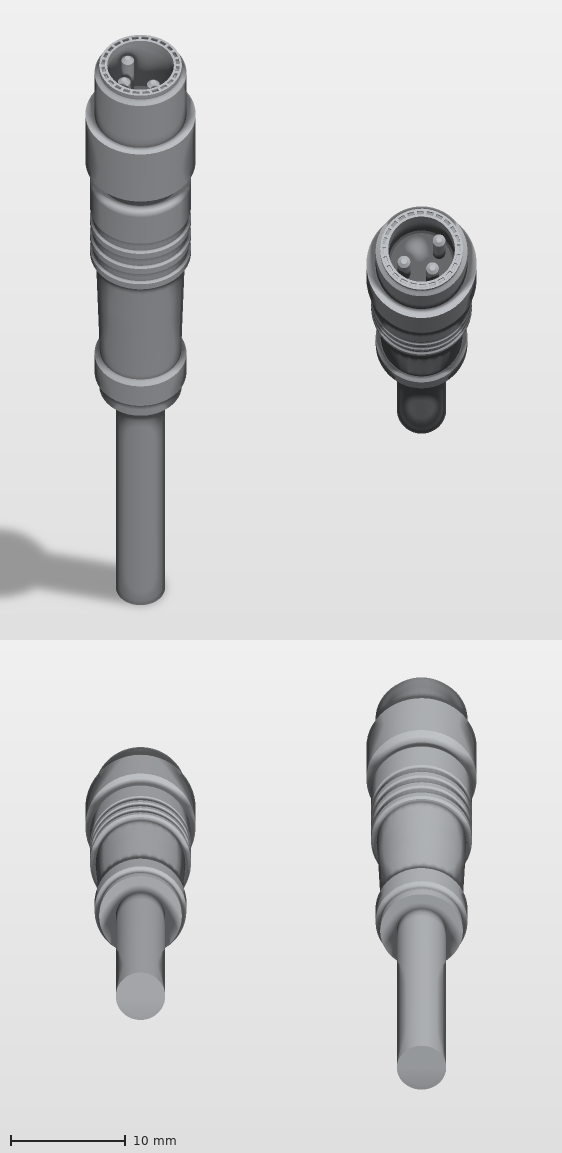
import cadquery as cq

TOTAL_LENGTH = 67.0
CABLE_LENGTH = 25.9
COLLAR_BOTTOM = 27.2
COLLAR_TOP = 30.5
GRIP_BOTTOM = 42.8
GRIP_TOP = 52.85
NUT_BOTTOM = 53.9
NUT_TOP = 60.75

CABLE_RADIUS = 2.15
TAIL_RADIUS = 3.6
COLLAR_RADIUS = 4.0
COLLAR_CHAMFER = 0.4
TAPER_LOW_RADIUS = 3.55
TAPER_HIGH_RADIUS = 3.9

GRIP_RADIUS = 4.4
GRIP_CORE_RADIUS = 4.2
GRIP_FILLET = 0.6
RIB_COUNT = 3
RIB_PITCH = 1.95
RIB_HEIGHT = 1.05
RIB_CHAMFER = GRIP_RADIUS - GRIP_CORE_RADIUS
SLEEVE_BOTTOM = GRIP_BOTTOM + RIB_COUNT * RIB_PITCH

NECK_RADIUS = 3.6
NUT_RADIUS = 4.8
NUT_CHAMFER = 0.8
BARREL_RADIUS = 4.0
LIP_RADIUS = 3.6
LIP_HEIGHT = 0.5
LIP_BOTTOM = TOTAL_LENGTH - LIP_HEIGHT

SOCKET_RADIUS = 2.9
SOCKET_DEPTH = 6.0
SOCKET_FLOOR = TOTAL_LENGTH - SOCKET_DEPTH
SOCKET_FLOOR_CHAMFER = 0.2

POCKET_COUNT = 24
POCKET_WIDTH = 0.6
POCKET_INNER_RADIUS = 3.1
POCKET_OUTER_RADIUS = 3.4
POCKET_DEPTH = 0.3

PIN_RADIUS = 0.55
PIN_CHAMFER = 0.3
PIN_TOP = TOTAL_LENGTH - 0.6
PIN_CIRCLE_RADIUS = 1.8
PIN_ANGLES = (0, 180, 270)


def cylinder(radius, bottom, top):
    return cq.Workplane("XY").workplane(offset=bottom).circle(radius).extrude(top - bottom)


def turn_about_axis(body, angle):
    return body.rotate((0, 0, 0), (0, 0, 1), angle)


def make_strain_relief():
    cable = cylinder(CABLE_RADIUS, 0, CABLE_LENGTH)
    tail = cylinder(TAIL_RADIUS, CABLE_LENGTH, COLLAR_BOTTOM)
    collar = cylinder(COLLAR_RADIUS, COLLAR_BOTTOM, COLLAR_TOP).edges().chamfer(COLLAR_CHAMFER)
    taper = (
        cq.Workplane("XY")
        .workplane(offset=COLLAR_TOP)
        .circle(TAPER_LOW_RADIUS)
        .workplane(offset=GRIP_BOTTOM - COLLAR_TOP)
        .circle(TAPER_HIGH_RADIUS)
        .loft()
    )
    return cable.union(tail).union(collar).union(taper)


def make_grip():
    grip = cylinder(GRIP_CORE_RADIUS, GRIP_BOTTOM, SLEEVE_BOTTOM)
    sleeve = cylinder(GRIP_RADIUS, SLEEVE_BOTTOM, GRIP_TOP)
    sleeve = sleeve.faces("<Z").edges().chamfer(RIB_CHAMFER)
    sleeve = sleeve.faces(">Z").edges().fillet(GRIP_FILLET)
    grip = grip.union(sleeve)
    for index in range(RIB_COUNT):
        bottom = GRIP_BOTTOM + index * RIB_PITCH
        rib = cylinder(GRIP_RADIUS, bottom, bottom + RIB_HEIGHT).edges().chamfer(RIB_CHAMFER)
        grip = grip.union(rib)
    return grip


def make_nut():
    neck = cylinder(NECK_RADIUS, GRIP_TOP, NUT_BOTTOM)
    nut = cylinder(NUT_RADIUS, NUT_BOTTOM, NUT_TOP).faces("<Z").edges().chamfer(NUT_CHAMFER)
    return neck.union(nut)


def make_barrel():
    barrel = cylinder(BARREL_RADIUS, NUT_TOP, LIP_BOTTOM)
    barrel = barrel.faces(">Z").edges().chamfer(BARREL_RADIUS - LIP_RADIUS)
    return barrel.union(cylinder(LIP_RADIUS, LIP_BOTTOM, TOTAL_LENGTH))


def make_socket():
    socket = cylinder(SOCKET_RADIUS, SOCKET_FLOOR, TOTAL_LENGTH)
    return socket.faces("<Z").edges().chamfer(SOCKET_FLOOR_CHAMFER)


def cut_rim_pockets(body):
    pocket = (
        cq.Workplane("XY")
        .box(
            POCKET_OUTER_RADIUS - POCKET_INNER_RADIUS,
            POCKET_WIDTH,
            POCKET_DEPTH,
            centered=(False, True, False),
        )
        .translate((POCKET_INNER_RADIUS, 0, TOTAL_LENGTH - POCKET_DEPTH))
    )
    for index in range(POCKET_COUNT):
        body = body.cut(turn_about_axis(pocket, index * 360 / POCKET_COUNT))
    return body


def add_pins(body):
    pin = cylinder(PIN_RADIUS, SOCKET_FLOOR, PIN_TOP).faces(">Z").edges().chamfer(PIN_CHAMFER)
    pin = pin.translate((PIN_CIRCLE_RADIUS, 0, 0))
    for angle in PIN_ANGLES:
        body = body.union(turn_about_axis(pin, angle))
    return body


connector = make_strain_relief().union(make_grip()).union(make_nut()).union(make_barrel())
connector = connector.cut(make_socket())
connector = cut_rim_pockets(connector)
result = add_pins(connector)